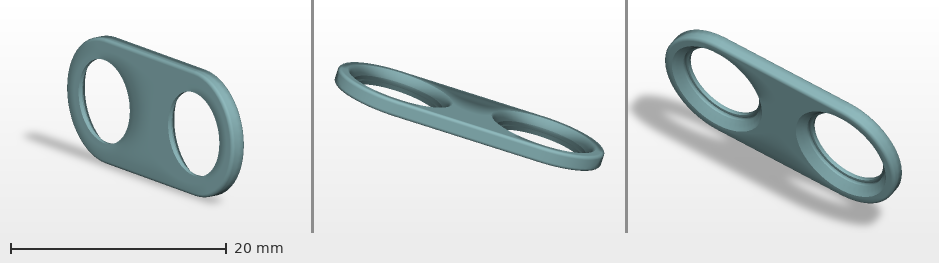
import cadquery as cq

length = 26.0
height = 12.0
thickness = 1.5
hole_diameter = 8.0
edge_radius = 0.3
lip_depth = 0.4
recess_diameter = 8.65
recess_chamfer = 0.75

hole_spacing = length - height


def rounded_plate():
    """Plate with semicircular ends, centred on the origin, all outer edges filleted."""
    plate = cq.Workplane("XZ").slot2D(length, height).extrude(thickness / 2, both=True)
    return plate.faces("<Y or >Y").edges().fillet(edge_radius)


def stepped_hole():
    """Hole through a front lip, then a wider recess whose rim is chamfered at the back face."""
    front_face = -thickness / 2
    back_face = thickness / 2
    hole_radius = hole_diameter / 2
    recess_radius = recess_diameter / 2
    ledge = front_face + lip_depth
    return (
        cq.Workplane("XY")
        .moveTo(0, front_face)
        .lineTo(hole_radius, front_face)
        .lineTo(hole_radius, ledge)
        .lineTo(recess_radius, ledge)
        .lineTo(recess_radius, back_face - recess_chamfer)
        .lineTo(recess_radius + recess_chamfer, back_face)
        .lineTo(0, back_face)
        .close()
        .revolve(360, (0, 0, 0), (0, 1, 0))
    )


result = rounded_plate()
for side in (-1, 1):
    result = result.cut(stepped_hole().translate((side * hole_spacing / 2, 0, 0)))